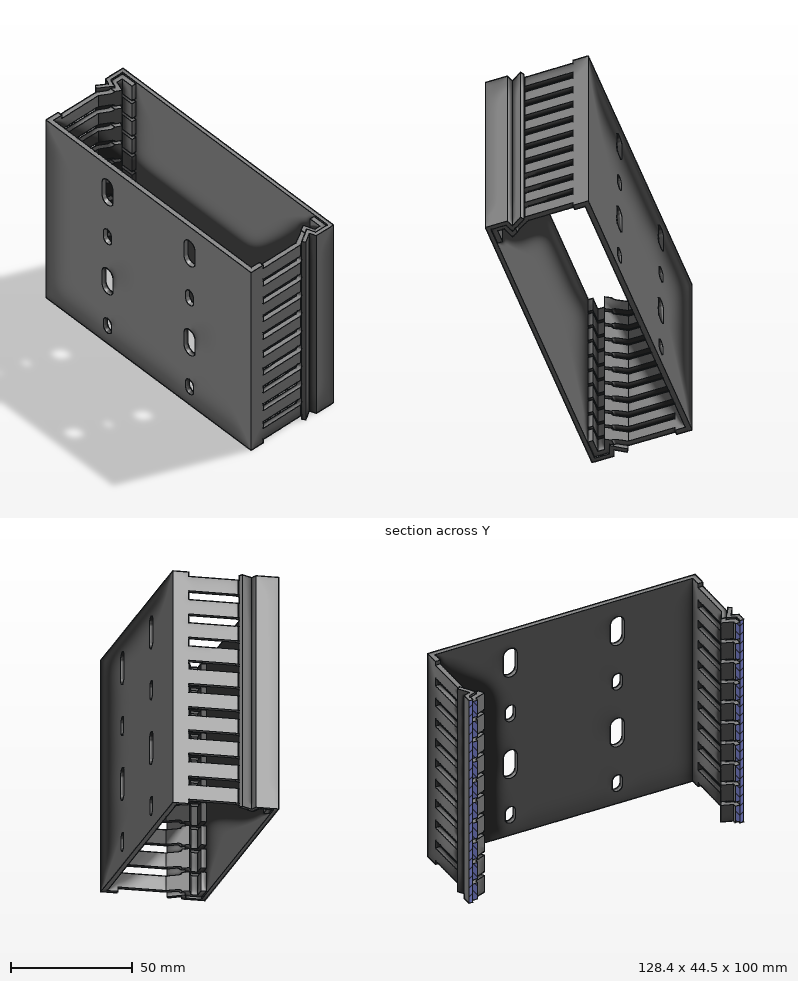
import cadquery as cq
import math


length = 100.0
cover_width = 128.4
total_height = 44.5
cover_wall = 1.8
duct_wall = 2.2

contact_x = -(cover_width / 2 - cover_wall)
contact_top = total_height - cover_wall
shoulder_y = total_height - 8.4
shoulder_run = 4.0
shoulder_angle = 20.0
duct_leg_angle = 60.0
cover_leg_angle = 57.0
cover_leg_length = 7.83
lip_length = 8.1

foot_width = 125.1

finger_pitch = 10.0
finger_count = 10
slot_width = 3.75
head_slot_width = 1.8
slot_bottom = 6.8
slot_round_center = total_height - 13.0

hole_column_x = 25.0
hole_repeat = 50.0
large_hole = (14.0, 6.5)
small_hole = (8.0, 4.7)
large_hole_z = -15.0
small_hole_z = -40.0


def direction(angle):
    """Unit vector at an angle in degrees from +X towards +Y."""
    return math.cos(math.radians(angle)), math.sin(math.radians(angle))


def offset_path(path, distance):
    """Open path moved sideways by distance (to its left if positive), with mitred corners."""
    normals = []
    for (x0, y0), (x1, y1) in zip(path, path[1:]):
        span = math.hypot(x1 - x0, y1 - y0)
        normals.append(((y0 - y1) / span, (x1 - x0) / span))
    before = normals[:1] + normals
    after = normals + normals[-1:]
    moved = []
    for (x, y), (ax, ay), (bx, by) in zip(path, before, after):
        mitre = distance / (1 + ax * bx + ay * by)
        moved.append((x + mitre * (ax + bx), y + mitre * (ay + by)))
    return moved


def mirrored(points):
    """The same points reflected to the +X side, in reverse order."""
    return [(-x, y) for x, y in reversed(points)]


def prism(outline):
    """Outline in XY extruded over the full length, centred on Z = 0."""
    return cq.Workplane("XY").polyline(outline).close().extrude(length / 2, both=True)


leg_x, leg_y = direction(180 + cover_leg_angle)
contact_corner = (contact_x, contact_top)
contact_shoulder = (contact_x, shoulder_y)
contact_bend = (
    contact_x + shoulder_run,
    shoulder_y - shoulder_run * math.tan(math.radians(shoulder_angle)),
)
contact_leg_end = (
    contact_x,
    contact_bend[1] - shoulder_run * math.tan(math.radians(duct_leg_angle)),
)


def make_cover():
    leg_tip = (
        contact_bend[0] + cover_leg_length * leg_x,
        contact_bend[1] + cover_leg_length * leg_y,
    )
    inside = [(0, contact_top), contact_corner, contact_shoulder, contact_bend, leg_tip]
    outside = offset_path(inside, -cover_wall)
    left_half = outside[1:] + inside[:0:-1]
    return prism(left_half + mirrored(left_half))


def side_slot(side, z):
    """Cutter between two fingers: wide along the necks, narrow between the heads."""
    middle = (slot_bottom + slot_round_center) / 2
    neck = cq.Workplane("YZ").center(middle, z).rect(slot_round_center - slot_bottom, slot_width)
    round_end = cq.Workplane("YZ").center(slot_round_center, z).circle(slot_width / 2)
    slit_height = total_height - slot_round_center
    slit_middle = slot_round_center + slit_height / 2
    slit = cq.Workplane("YZ").center(slit_middle, z).rect(slit_height, head_slot_width)
    reach = side * cover_width / 2
    return neck.extrude(reach).union(round_end.extrude(reach)).union(slit.extrude(reach))


def floor_hole(size, x, z):
    """Cutter for an obround hole through the floor, long side along Z."""
    hole = cq.Workplane("XZ").center(x, z).slot2D(*size, angle=90)
    return hole.extrude(-duct_wall)


def make_duct():
    lip_end = (contact_x + lip_length, contact_top)
    wall_foot = (contact_x, 0)
    floor_middle = (0, 0)
    outside = [
        lip_end,
        contact_corner,
        contact_shoulder,
        contact_bend,
        contact_leg_end,
        wall_foot,
        floor_middle,
    ]
    inside = offset_path(outside, duct_wall)
    drafted_foot = (-foot_width / 2, 0)
    left_half = inside[-2::-1] + outside[:-2] + [drafted_foot]
    duct = prism(left_half + mirrored(left_half))

    for side in (-1, 1):
        for gap in range(finger_count + 1):
            z = gap * finger_pitch - length / 2
            duct = duct.cut(side_slot(side, z))

    for x in (-hole_column_x, hole_column_x):
        for shift in (0, hole_repeat):
            duct = duct.cut(floor_hole(large_hole, x, large_hole_z + shift))
            duct = duct.cut(floor_hole(small_hole, x, small_hole_z + shift))
    return duct


cover = make_cover()
duct = make_duct()

result = cq.Compound.makeCompound([cover.val(), duct.val()])